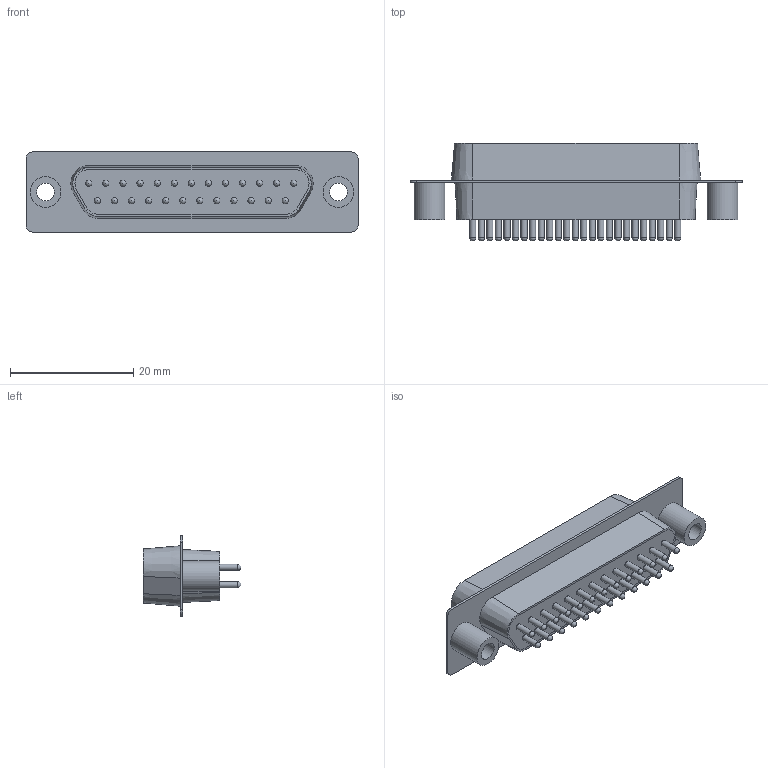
import cadquery as cq
import math

flange_width = 53.85
flange_height = 13.0
flange_thickness = 0.4
flange_corner_radius = 1.0

d_top_half_width = 16.75
d_bottom_half_width = 15.15
d_half_height = 1.4

rear_depth = 6.0
rear_tip_radius = 2.98
rear_taper_angle = 5.0

front_depth = 6.0
front_tip_radius = 2.58
front_taper_angle = 3.0
front_wall = 0.35

standoff_spacing = 47.5
standoff_diameter = 5.0
standoff_hole_diameter = 2.9

overall_depth = 15.86
pin_radius = 0.5
pin_pitch = 2.77
pin_row_spacing = 2.84
pin_offset_x = -0.12
top_row_pins = 13
bottom_row_pins = 12

flange_front_y = -flange_thickness
front_end_y = flange_front_y - front_depth
pin_length = overall_depth - rear_depth - flange_thickness - front_depth


def plane_at(y):
    """Workplane facing -Y at the given y, with local x along X and local y along Z."""
    return cq.Workplane("XZ", origin=(0, y, 0))


def d_profile(y, corner_radius):
    """Closed D-shaped profile at the given y."""
    corner_centres = [
        (-d_top_half_width, d_half_height),
        (d_top_half_width, d_half_height),
        (d_bottom_half_width, -d_half_height),
        (-d_bottom_half_width, -d_half_height),
    ]
    return plane_at(y).polyline(corner_centres).close().offset2D(corner_radius)


def tapered_d(base_y, tip_y, tip_radius, taper_angle):
    """D-shaped solid that narrows from base_y to tip_y."""
    growth = abs(tip_y - base_y) * math.tan(math.radians(taper_angle))
    base = d_profile(base_y, tip_radius + growth).val()
    tip = d_profile(tip_y, tip_radius).val()
    return cq.Workplane(cq.Solid.makeLoft([base, tip], True))


def make_flange():
    plate = plane_at(0).rect(flange_width, flange_height).extrude(flange_thickness)
    return plate.edges("|Y").fillet(flange_corner_radius)


def make_rear_shell():
    return tapered_d(0, rear_depth, rear_tip_radius, rear_taper_angle)


def make_front_insert():
    """Straight core of the front housing."""
    return d_profile(flange_front_y, front_tip_radius - front_wall).extrude(front_depth)


def make_front_rim(insert):
    """Tapered wall of the front housing around the insert."""
    housing = tapered_d(flange_front_y, front_end_y, front_tip_radius, front_taper_angle)
    return housing.cut(insert)


def standoff_cylinders(start_y, diameter):
    """Pair of cylinders on the standoff axes, from start_y to the front end face."""
    centres = plane_at(start_y).rarray(standoff_spacing, 1, 2, 1)
    return centres.circle(diameter / 2).extrude(start_y - front_end_y)


def make_pin_row(count, z):
    shank_length = pin_length - pin_radius
    shank_starts = plane_at(front_end_y).center(pin_offset_x, z).rarray(pin_pitch, 1, count, 1)
    shanks = shank_starts.circle(pin_radius).extrude(shank_length)
    tip_centres = plane_at(front_end_y - shank_length).center(pin_offset_x, z)
    tips = tip_centres.rarray(pin_pitch, 1, count, 1).sphere(pin_radius)
    return shanks.union(tips)


front_insert = make_front_insert()
top_pins = make_pin_row(top_row_pins, pin_row_spacing / 2)
bottom_pins = make_pin_row(bottom_row_pins, -pin_row_spacing / 2)

result = make_flange().union(make_rear_shell())
result = result.union(standoff_cylinders(flange_front_y, standoff_diameter))
result = result.cut(standoff_cylinders(0, standoff_hole_diameter))
result = result.union(front_insert.union(top_pins).union(bottom_pins))

result = result.union(make_front_rim(front_insert), clean=False)